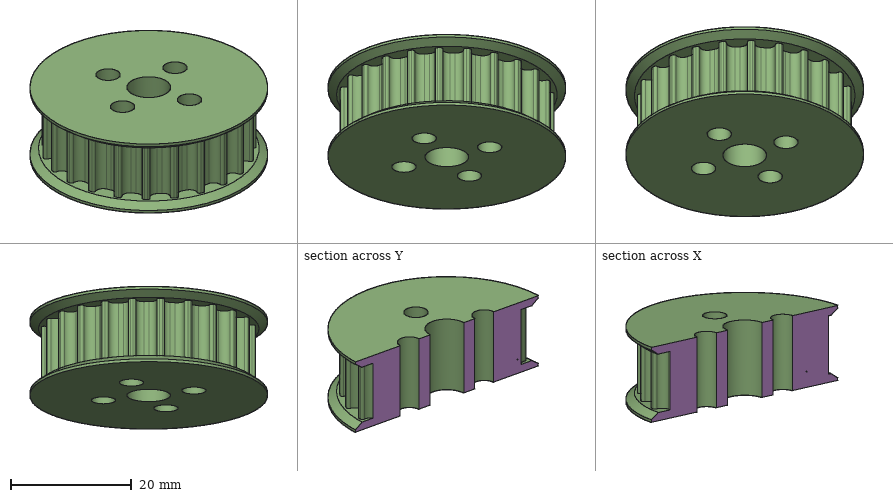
import cadquery as cq
import math

tooth_count = 23
belt_pitch = 5.0
pitch_line_offset = 0.57
groove_depth = 2.03
groove_flat_half_width = 0.42
groove_wall_radius = 1.3
tooth_tip_radius = 0.43

belt_width = 10.0
flange_diameter = 39.32
flange_rim_thickness = 0.5
flange_cone_height = 1.0
flange_lip = 0.5

bore_diameter = 7.2
bolt_hole_diameter = 4.0
bolt_circle_diameter = 16.0
bolt_hole_count = 4

tip_radius = tooth_count * belt_pitch / (2 * math.pi) - pitch_line_offset
root_radius = tip_radius - groove_depth
flange_radius = flange_diameter / 2
flange_inner_radius = tip_radius + flange_lip
flange_thickness = flange_rim_thickness + flange_cone_height
total_height = belt_width + 2 * flange_thickness
tooth_angle = 2 * math.pi / tooth_count
cutter_overshoot = 1.0


def mirrored(point):
    return (-point[0], point[1])


def along(start, target, distance):
    """Point at a distance from start on the ray towards target."""
    length = math.dist(start, target)
    return tuple(a + (b - a) * distance / length for a, b in zip(start, target))


def groove_cutter():
    """One belt groove on the +Y side: flat root, round walls, rounded tooth tips."""
    wall_centre = (groove_flat_half_width, root_radius + groove_wall_radius)
    root_corner = (groove_flat_half_width, root_radius)

    tip_centre_radius = tip_radius - tooth_tip_radius
    wall_to_tip = groove_wall_radius + tooth_tip_radius
    wall_centre_radius = math.hypot(*wall_centre)
    cos_between = (wall_centre_radius**2 + tip_centre_radius**2 - wall_to_tip**2) / (
        2 * wall_centre_radius * tip_centre_radius
    )
    tip_centre_angle = math.atan2(*wall_centre) + math.acos(cos_between)
    tip_centre = (
        tip_centre_radius * math.sin(tip_centre_angle),
        tip_centre_radius * math.cos(tip_centre_angle),
    )

    wall_end = along(wall_centre, tip_centre, groove_wall_radius)
    land_edge = along((0, 0), tip_centre, tip_radius)
    wall_chord_middle = tuple((a + b) / 2 for a, b in zip(root_corner, wall_end))
    wall_middle = along(wall_centre, wall_chord_middle, groove_wall_radius)
    tip_chord_middle = tuple((a + b) / 2 for a, b in zip(wall_end, land_edge))
    tip_middle = along(tip_centre, tip_chord_middle, tooth_tip_radius)
    outer_corner = along((0, 0), land_edge, tip_radius + cutter_overshoot)

    return (
        cq.Workplane("XY", origin=(0, 0, flange_thickness))
        .moveTo(*mirrored(root_corner))
        .lineTo(*root_corner)
        .threePointArc(wall_middle, wall_end)
        .threePointArc(tip_middle, land_edge)
        .lineTo(*outer_corner)
        .lineTo(*mirrored(outer_corner))
        .lineTo(*mirrored(land_edge))
        .threePointArc(mirrored(tip_middle), mirrored(wall_end))
        .threePointArc(mirrored(wall_middle), mirrored(root_corner))
        .close()
        .extrude(belt_width)
    )


def toothed_body():
    """Toothed drum between the flanges, with a tooth centred on the -Y axis."""
    body = cq.Workplane("XY", origin=(0, 0, flange_thickness)).circle(tip_radius).extrude(belt_width)
    cutter = groove_cutter()
    for index in range(tooth_count):
        body = body.cut(cutter.rotate((0, 0, 0), (0, 0, 1), math.degrees(index * tooth_angle)))
    return body


def bottom_flange():
    """Flange with a plain rim that narrows as a cone towards the teeth."""
    return (
        cq.Workplane("XZ")
        .lineTo(flange_radius, 0)
        .lineTo(flange_radius, flange_rim_thickness)
        .lineTo(flange_inner_radius, flange_thickness)
        .lineTo(0, flange_thickness)
        .close()
        .revolve(360, (0, 0, 0), (0, 1, 0))
    )


def through_holes():
    """Central bore and the bolt holes around it."""
    bore = cq.Workplane("XY").circle(bore_diameter / 2).extrude(total_height)
    bolt_holes = (
        cq.Workplane("XY")
        .polarArray(bolt_circle_diameter / 2, 0, 360, bolt_hole_count)
        .circle(bolt_hole_diameter / 2)
        .extrude(total_height)
    )
    return bore.union(bolt_holes)


lower = bottom_flange()
upper = lower.mirror("XY", (0, 0, total_height / 2))
result = toothed_body().union(lower).union(upper).cut(through_holes())